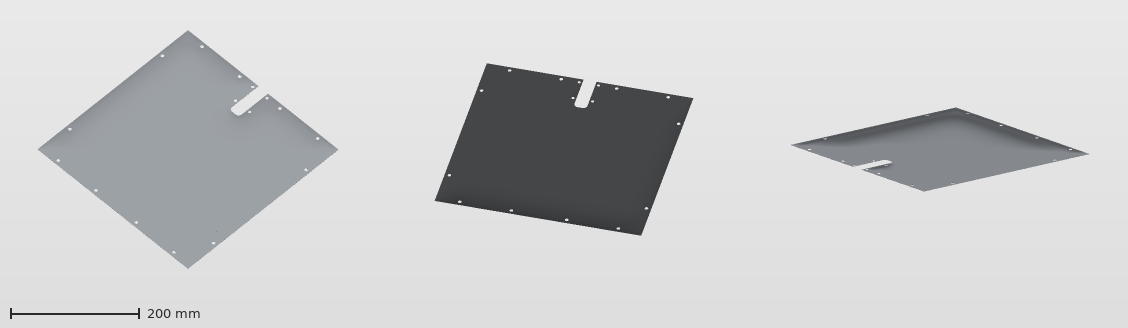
import cadquery as cq

WIDTH = 331.0
DEPTH = 330.7
THICKNESS = 0.12

BORDER = 20.0
PANEL_CORNER_RADIUS = 4.0
PANEL_NOTCH_WIDTH = 57.5
PANEL_NOTCH_BOTTOM_RADIUS = 10.0

SLOT_WIDTH = 21.0
SLOT_DEPTH = 64.5
SLOT_CORNER_RADIUS = 6.5
SLOT_END_BORDER = 11.3

RIM_HOLE_DIAMETER = 5.5
SLOT_HOLE_DIAMETER = 5.0
HOLE_EDGE_OFFSET = 7.5
OUTER_HOLE_X = 127.0
INNER_HOLE_X = 44.5
SIDE_HOLE_Y = 101.5
SLOT_HOLE_X = 15.5
SLOT_HOLE_SPACING = 38.0

BACK_Y = DEPTH / 2
PANEL_WIDTH = WIDTH - 2 * BORDER
PANEL_DEPTH = DEPTH - 2 * BORDER
PANEL_BACK_Y = PANEL_DEPTH / 2
PANEL_NOTCH_DEPTH = SLOT_DEPTH + SLOT_END_BORDER - BORDER


def plate(width, depth):
    """Flat rectangular plate centred on the origin."""
    return cq.Workplane("XY").box(width, depth, THICKNESS)


def notch_cutter(width, depth, back_y, bottom_radius):
    """Block reaching forward from back_y, with its two front corners rounded."""
    return (
        cq.Workplane("XY")
        .center(0, back_y - depth / 2)
        .box(width, depth, THICKNESS)
        .edges("|Z and <Y")
        .fillet(bottom_radius)
    )


def make_panel():
    """Panel with rounded corners and a notch that clears the slot."""
    notch = notch_cutter(PANEL_NOTCH_WIDTH, PANEL_NOTCH_DEPTH, PANEL_BACK_Y, PANEL_NOTCH_BOTTOM_RADIUS)
    notched = plate(PANEL_WIDTH, PANEL_DEPTH).cut(notch)
    return notched.edges("|Z and (<Y or >Y)").fillet(PANEL_CORNER_RADIUS)


def rim_hole_points():
    """Centres of the holes along the four outer edges."""
    hole_row_x = WIDTH / 2 - HOLE_EDGE_OFFSET
    hole_row_y = BACK_Y - HOLE_EDGE_OFFSET
    quadrant = [(INNER_HOLE_X, hole_row_y), (OUTER_HOLE_X, hole_row_y), (hole_row_x, SIDE_HOLE_Y)]
    return [(sx * x, sy * y) for x, y in quadrant for sx in (-1, 1) for sy in (-1, 1)]


def slot_hole_points():
    """Centres of the two hole pairs beside the slot."""
    back_pair_y = BACK_Y - HOLE_EDGE_OFFSET
    pair_ys = (back_pair_y, back_pair_y - SLOT_HOLE_SPACING)
    return [(side * SLOT_HOLE_X, y) for side in (-1, 1) for y in pair_ys]


def drill(body, points, diameter):
    """Drill through holes at the given centres."""
    return body.faces(">Z").workplane(origin=(0, 0, 0)).pushPoints(points).hole(diameter)


def make_frame(panel):
    """Slotted, drilled frame with an opening that matches the panel."""
    slot = notch_cutter(SLOT_WIDTH, SLOT_DEPTH, BACK_Y, SLOT_CORNER_RADIUS)
    body = plate(WIDTH, DEPTH).cut(slot).cut(panel)
    body = drill(body, rim_hole_points(), RIM_HOLE_DIAMETER)
    return drill(body, slot_hole_points(), SLOT_HOLE_DIAMETER)


panel = make_panel()
frame = make_frame(panel)

result = cq.Compound.makeCompound([frame.val(), panel.val()])